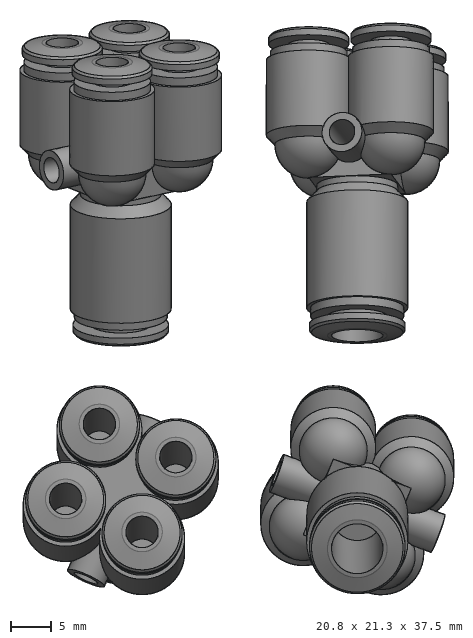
import cadquery as cq

total_height = 37.5
port_pitch = 10.3
port_offset = port_pitch / 2

collar_cone_depth = 0.4
collar_rim_depth = 0.7
collar_depth = 1.5
stem_depth = 2.48
ring_depth = 3.52
collar_rim_inset = 0.25

branch_diameter = 10.5
branch_ring_diameter = 9.5
branch_stem_diameter = 5.0
branch_collar_diameter = 9.9
branch_bore_diameter = 3.98
branch_shoulder_z = 24.4
dome_center_z = 23.3
dome_radius = 4.2
branch_top_z = total_height - ring_depth
branch_bore_depth = total_height - dome_center_z

main_diameter = 12.5
main_ring_diameter = 11.5
main_stem_diameter = 7.35
main_collar_diameter = 11.8
main_bore_diameter = 6.35
main_shoulder_z = 17.0
neck_diameter = 10.0
neck_bottom_z = 18.3
neck_top_z = dome_center_z - dome_radius

tube_diameter = 5.0
tube_bore_diameter = 3.2
tube_length = 21.3


def release_end(collar_diameter, stem_diameter, ring_diameter):
    """Collar, stem and ring with the end face at Z = 0, extending toward +Z."""
    collar_radius = collar_diameter / 2
    stem_radius = stem_diameter / 2
    ring_radius = ring_diameter / 2
    profile = [
        (0, 0),
        (stem_radius, 0),
        (collar_radius - collar_rim_inset, collar_cone_depth),
        (collar_radius, collar_rim_depth),
        (collar_radius, collar_depth),
        (stem_radius, collar_depth),
        (stem_radius, stem_depth),
        (ring_radius, stem_depth),
        (ring_radius, ring_depth),
        (0, ring_depth),
    ]
    return cq.Workplane("XZ").polyline(profile).close().revolve(360, (0, 0), (0, 1))


def main_port():
    """Main barrel with a conical shoulder and a neck under the branches."""
    barrel = (
        cq.Workplane("XZ")
        .moveTo(0, ring_depth)
        .lineTo(main_diameter / 2, ring_depth)
        .lineTo(main_diameter / 2, main_shoulder_z)
        .lineTo(neck_diameter / 2, neck_bottom_z)
        .lineTo(neck_diameter / 2, neck_top_z)
        .lineTo(0, neck_top_z)
        .close()
        .revolve(360, (0, 0), (0, 1))
    )
    return barrel.union(release_end(main_collar_diameter, main_stem_diameter, main_ring_diameter))


def branch_port():
    """Branch barrel on the Z axis, closed below by a hemispherical dome."""
    barrel = (
        cq.Workplane("XZ")
        .moveTo(0, branch_top_z)
        .lineTo(branch_diameter / 2, branch_top_z)
        .lineTo(branch_diameter / 2, branch_shoulder_z)
        .lineTo(dome_radius, dome_center_z)
        .radiusArc((0, dome_center_z - dome_radius), dome_radius)
        .close()
        .revolve(360, (0, 0), (0, 1))
    )
    end = release_end(branch_collar_diameter, branch_stem_diameter, branch_ring_diameter)
    end = end.rotate((0, 0, 0), (1, 0, 0), 180).translate((0, 0, total_height))
    return barrel.union(end)


def cross_cylinder(diameter):
    """Cylinder along Y through the part at dome-center height."""
    return (
        cq.Workplane("XZ", origin=(0, 0, dome_center_z))
        .circle(diameter / 2)
        .extrude(tube_length / 2, both=True)
    )


branch_centers = [(x, y) for x in (-port_offset, port_offset) for y in (-port_offset, port_offset)]

web = (
    cq.Workplane("XY", origin=(0, 0, neck_top_z))
    .rect(port_pitch, port_pitch)
    .extrude(branch_top_z - neck_top_z)
)

body = main_port().union(web).union(cross_cylinder(tube_diameter))
branch = branch_port()
for x, y in branch_centers:
    body = body.union(branch.translate((x, y, 0)))

branch_bores = (
    cq.Workplane("XY", origin=(0, 0, total_height))
    .pushPoints(branch_centers)
    .circle(branch_bore_diameter / 2)
    .extrude(-branch_bore_depth)
)
main_bore = cq.Workplane("XY").circle(main_bore_diameter / 2).extrude(main_shoulder_z)

result = body.cut(branch_bores).cut(main_bore).cut(cross_cylinder(tube_bore_diameter))